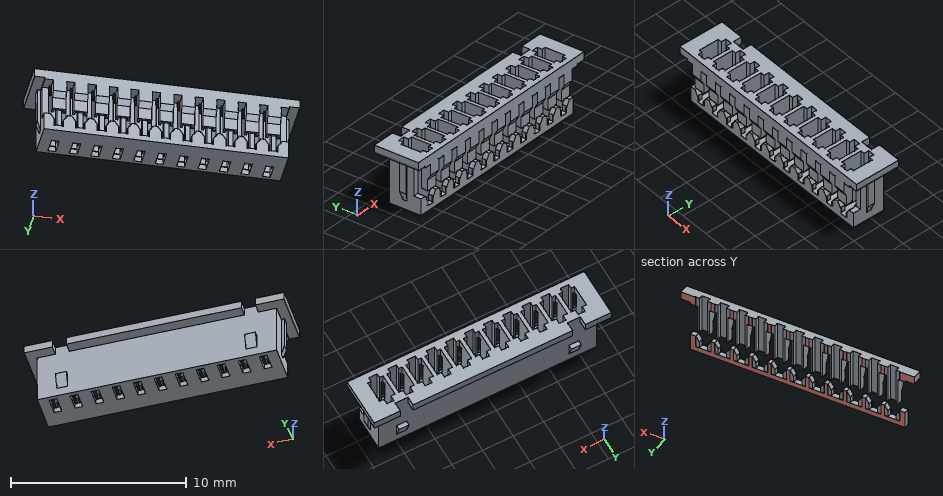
import cadquery as cq

CONTACTS = 11
PITCH = 1.25
HEIGHT = 3.95
FIRST_CONTACT_X = -PITCH * (CONTACTS - 1) / 2
CONTACT_XS = [FIRST_CONTACT_X + i * PITCH for i in range(CONTACTS)]

FLANGE_LENGTH = 15.5
FLANGE_DEPTH = 3.2
FLANGE_FRONT_Y = -FLANGE_DEPTH / 2
FLANGE_BACK_Y = FLANGE_DEPTH / 2
FLANGE_BOTTOM_Z = 3.4
FLANGE_BEVEL_HEIGHT = 0.1
FLANGE_BEVEL_INSET = 0.03

BODY_END_MARGIN = 0.25
BODY_LENGTH = CONTACTS * PITCH + 2 * BODY_END_MARGIN
BODY_BACK_Y = 1.0
BODY_FRONT_Y = -1.3

CORE_FRONT_Y = -0.775
GAP_TOP_Z = 3.3
LEDGE_TOP_Z = 1.12

FINGER_WIDTH = 0.78
FINGER_BACK_Y = -0.96
FINGER_TIP_FRONT_Y = -1.4
FINGER_TIP_BACK_Z = 1.5
FINGER_TIP_FRONT_Z = 1.45
FINGER_STEP_TOP_Z = 2.56
FINGER_STEP_BOTTOM_Z = 2.2

CAVITY_WIDTH = 1.0
CAVITY_FRONT_Y = FINGER_BACK_Y
CAVITY_BACK_Y = 0.45
CAVITY_FLOOR_Z = 0.36
SLOT_WIDTH = 0.45
REAR_SLOT_BACK_Y = 0.8
FRONT_NOTCH_WIDTH = 0.54
FRONT_NOTCH_Y = -1.24
FLOOR_HOLE_FRONT_Y = -0.25
FLOOR_HOLE_BACK_Y = 0.75
FUNNEL_BOTTOM_Z = 0.7

LATCH_X = -FIRST_CONTACT_X - PITCH / 2
LATCH_WIDTH = 0.65
LATCH_BACK_Y = 1.3
LATCH_TOP_Z = 1.5
LATCH_BOTTOM_Z = 0.6
FLANGE_NOTCH_WIDTH = 0.83

RIB_CENTRE_Y = -0.135
RIB_TIP_WIDTH = 0.48
RIB_ROOT_WIDTH = 0.31
RIB_HEIGHT = 0.2
RIB_TAPER_TOP_Z = 1.2
RIB_BOTTOM_Z = 0.6


def box(x_range, y_range, z_range):
    """Box between the given limits on each axis."""
    (x0, x1), (y0, y1), (z0, z1) = x_range, y_range, z_range
    return cq.Workplane("XY").box(x1 - x0, y1 - y0, z1 - z0, centered=False).translate((x0, y0, z0))


def centred(x, width):
    """Limits of a stretch of the given width centred on x."""
    return (x - width / 2, x + width / 2)


def extrude_along_x(yz_points, x, width):
    """Closed YZ outline extruded symmetrically about x."""
    return cq.Workplane("YZ").polyline(yz_points).close().extrude(width / 2, both=True).translate((x, 0, 0))


def make_flange():
    half = FLANGE_LENGTH / 2
    bevelled_half = half - FLANGE_BEVEL_INSET
    bevel_top_z = FLANGE_BOTTOM_Z + FLANGE_BEVEL_HEIGHT
    outline = [
        (-half, HEIGHT),
        (half, HEIGHT),
        (half, bevel_top_z),
        (bevelled_half, FLANGE_BOTTOM_Z),
        (-bevelled_half, FLANGE_BOTTOM_Z),
        (-half, bevel_top_z),
    ]
    flange = cq.Workplane("XZ").polyline(outline).close().extrude(FLANGE_DEPTH / 2, both=True)
    for x in (-LATCH_X, LATCH_X):
        notch = box(centred(x, FLANGE_NOTCH_WIDTH), (BODY_BACK_Y, FLANGE_BACK_Y), (FLANGE_BOTTOM_Z, HEIGHT))
        flange = flange.cut(notch)
    return flange


def make_body():
    """Core with the front ledge at its foot and the finger carrier under the flange."""
    outline = [
        (BODY_BACK_Y, 0),
        (BODY_FRONT_Y, 0),
        (BODY_FRONT_Y, LEDGE_TOP_Z),
        (CORE_FRONT_Y, LEDGE_TOP_Z),
        (CORE_FRONT_Y, GAP_TOP_Z),
        (FLANGE_FRONT_Y, GAP_TOP_Z),
        (FLANGE_FRONT_Y, FLANGE_BOTTOM_Z),
        (BODY_BACK_Y, FLANGE_BOTTOM_Z),
    ]
    return extrude_along_x(outline, 0, BODY_LENGTH)


def make_finger(x):
    outline = [
        (FINGER_BACK_Y, GAP_TOP_Z),
        (FLANGE_FRONT_Y, GAP_TOP_Z),
        (FLANGE_FRONT_Y, FINGER_STEP_TOP_Z),
        (FINGER_TIP_FRONT_Y, FINGER_STEP_BOTTOM_Z),
        (FINGER_TIP_FRONT_Y, FINGER_TIP_FRONT_Z),
        (FINGER_BACK_Y, FINGER_TIP_BACK_Z),
    ]
    return extrude_along_x(outline, x, FINGER_WIDTH)


def make_latch(x):
    outline = [
        (BODY_BACK_Y, LATCH_TOP_Z),
        (LATCH_BACK_Y, LATCH_TOP_Z),
        (BODY_BACK_Y, LATCH_BOTTOM_Z),
    ]
    return extrude_along_x(outline, x, LATCH_WIDTH)


def make_left_rib():
    """Dovetail rib on the -X end, its lower end sloping back to the body."""
    root_x = -BODY_LENGTH / 2
    tip_x = root_x - RIB_HEIGHT
    tip_front, tip_back = centred(RIB_CENTRE_Y, RIB_TIP_WIDTH)
    root_front, root_back = centred(RIB_CENTRE_Y, RIB_ROOT_WIDTH)
    section = [(root_x, root_front), (tip_x, tip_front), (tip_x, tip_back), (root_x, root_back)]
    bar = cq.Workplane("XY").polyline(section).close().extrude(FLANGE_BOTTOM_Z)
    side = [
        (root_x, FLANGE_BOTTOM_Z),
        (tip_x, FLANGE_BOTTOM_Z),
        (tip_x, RIB_TAPER_TOP_Z),
        (root_x, RIB_BOTTOM_Z),
    ]
    envelope = cq.Workplane("XZ").polyline(side).close().extrude(FLANGE_DEPTH / 2, both=True)
    return bar.intersect(envelope)


def make_cavity(x):
    """Everything removed for one contact: cavity, slots, floor hole and ledge funnel."""
    slot = centred(x, SLOT_WIDTH)
    above_floor = (CAVITY_FLOOR_Z, HEIGHT)
    cavity = box(centred(x, CAVITY_WIDTH), (CAVITY_FRONT_Y, CAVITY_BACK_Y), above_floor)
    rear_slot = box(slot, (CAVITY_BACK_Y, REAR_SLOT_BACK_Y), above_floor)
    floor_hole = box(slot, (FLOOR_HOLE_FRONT_Y, FLOOR_HOLE_BACK_Y), (0, CAVITY_FLOOR_Z))
    front_notch = box(centred(x, FRONT_NOTCH_WIDTH), (FRONT_NOTCH_Y, CAVITY_FRONT_Y), above_floor)
    slot_left, slot_right = slot
    funnel_left, funnel_right = centred(x, CAVITY_WIDTH)
    funnel_outline = [
        (funnel_left, LEDGE_TOP_Z),
        (slot_left, FUNNEL_BOTTOM_Z),
        (slot_left, CAVITY_FLOOR_Z),
        (slot_right, CAVITY_FLOOR_Z),
        (slot_right, FUNNEL_BOTTOM_Z),
        (funnel_right, LEDGE_TOP_Z),
    ]
    funnel = cq.Workplane("XZ", origin=(0, CAVITY_FRONT_Y, 0)).polyline(funnel_outline).close()
    funnel = funnel.extrude(CAVITY_FRONT_Y - BODY_FRONT_Y)
    return cavity.union(rear_slot).union(floor_hole).union(front_notch).union(funnel)


left_rib = make_left_rib()
result = make_flange().union(make_body())
result = result.union(left_rib).union(left_rib.mirror("YZ"))
for latch_x in (-LATCH_X, LATCH_X):
    result = result.union(make_latch(latch_x))
for contact_x in CONTACT_XS:
    result = result.union(make_finger(contact_x))
for contact_x in CONTACT_XS:
    result = result.cut(make_cavity(contact_x))